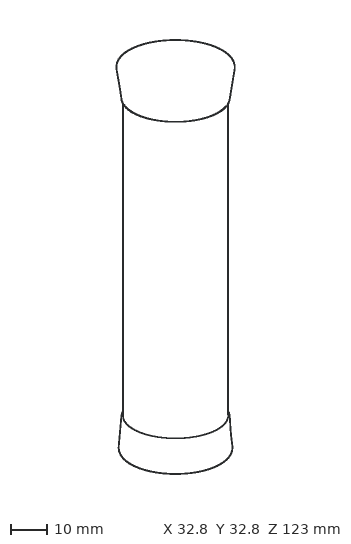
import cadquery as cq
import math

total_height = 123.0
rim_radius = 16.4
tube_radius = 29.0 / 2

tip_radius = 1.7
cone_slope = math.radians(18.5)
cone_radius = 15.7
rim_depth = 6.0
cap_height = 15.6
collar_radius = 15.0

base_height = 10.7
foot_radius = 15.7
foot_rounding = 1.0

lip_size = collar_radius - tube_radius


def revolved(outline):
    """Turn a half section, drawn in the XZ plane, about the Z axis."""
    return outline.close().revolve(360, (0, 0, 0), (0, 1, 0))


def make_tube():
    return cq.Workplane("XY").circle(tube_radius).extrude(total_height - cap_height / 2)


def make_top_cap():
    dome_radius = tip_radius / math.sin(cone_slope)
    cone_top = total_height - tip_radius * math.tan(cone_slope / 2)
    cone_base = cone_top - (cone_radius - tip_radius) * math.tan(cone_slope)
    rim_bottom = total_height - rim_depth
    cap_bottom = total_height - cap_height
    outline = (
        cq.Workplane("XZ")
        .moveTo(0, total_height)
        .radiusArc((tip_radius, cone_top), dome_radius)
        .lineTo(cone_radius, cone_base)
        .tangentArcPoint((rim_radius, rim_bottom), relative=False)
        .lineTo(collar_radius, cap_bottom + lip_size)
        .radiusArc((tube_radius, cap_bottom), lip_size)
        .lineTo(0, cap_bottom)
    )
    return revolved(outline)


def make_base_cap():
    outline = (
        cq.Workplane("XZ")
        .lineTo(foot_radius - foot_rounding, 0)
        .radiusArc((foot_radius, foot_rounding), -foot_rounding)
        .lineTo(collar_radius, base_height - lip_size)
        .radiusArc((tube_radius, base_height), -lip_size)
        .lineTo(0, base_height)
    )
    return revolved(outline)


result = make_tube().union(make_top_cap()).union(make_base_cap())